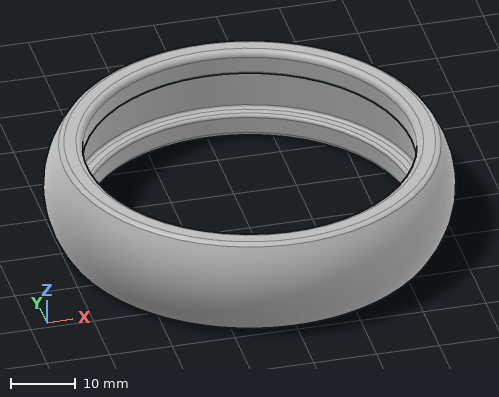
import cadquery as cq
import math

outer_radius = 31.9
height = 15.75
crown_radius = 13.0
bore_radius = 25.85
edge_radius = 1.0
groove_radius = 27.95
groove_width = 7.35
groove_edge_radius = 0.5

half_height = height / 2
crown_center = outer_radius - crown_radius
rim_radius = crown_center + math.sqrt(crown_radius**2 - half_height**2)


def make_ring():
    """Crowned ring with all four rim edges rounded."""
    ring = (
        cq.Workplane("XZ")
        .moveTo(bore_radius, -half_height)
        .lineTo(rim_radius, -half_height)
        .threePointArc((outer_radius, 0), (rim_radius, half_height))
        .lineTo(bore_radius, half_height)
        .close()
        .revolve(360, (0, 0), (0, 1))
    )
    return ring.faces("|Z").edges().fillet(edge_radius)


def make_groove_cutter():
    """Groove with rounded bottom corners and flared, rounded mouth edges."""
    half_width = groove_width / 2
    r = groove_edge_radius
    mouth = half_width + r
    floor = half_width - r
    diagonal = r * math.sqrt(0.5)
    inside = bore_radius - r
    return (
        cq.Workplane("XZ")
        .moveTo(inside, -mouth)
        .lineTo(bore_radius, -mouth)
        .threePointArc((bore_radius + r - diagonal, -mouth + diagonal), (bore_radius + r, -half_width))
        .lineTo(groove_radius - r, -half_width)
        .threePointArc((groove_radius - r + diagonal, -floor - diagonal), (groove_radius, -floor))
        .lineTo(groove_radius, floor)
        .threePointArc((groove_radius - r + diagonal, floor + diagonal), (groove_radius - r, half_width))
        .lineTo(bore_radius + r, half_width)
        .threePointArc((bore_radius + r - diagonal, mouth - diagonal), (bore_radius, mouth))
        .lineTo(inside, mouth)
        .close()
        .revolve(360, (0, 0), (0, 1))
    )


result = make_ring().cut(make_groove_cutter())